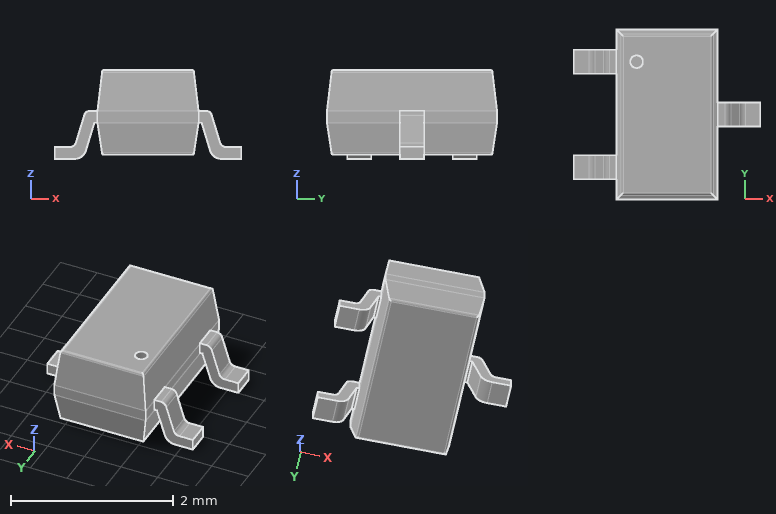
import cadquery as cq
import math

span = 2.3
body_width = 1.25
body_length = 2.1
body_top = 1.1
standoff = 0.05

lead_thickness = 0.15
lead_width = 0.3
lead_top = 0.595
lead_pitch = 1.302
lead_tilt = 17.0
shoulder_reach = 0.77
bend_radius = 0.075
heel_radius = lead_thickness

waist_bottom = lead_top - lead_thickness
taper_inset = 0.06
rim_radius = 0.03

dimple_diameter = 0.156
dimple_depth = 0.115
dimple_x = -0.375
dimple_y = lead_pitch / 2


def tapered_block(base_z, height, direction):
    """Waist-sized block narrowing by taper_inset over its height, up (1) or down (-1)."""
    taper = math.degrees(math.atan(taper_inset / height))
    plane = cq.Plane(origin=(0, 0, base_z), xDir=(1, 0, 0), normal=(0, 0, direction))
    return cq.Workplane(plane).rect(body_width, body_length).extrude(height, taper=taper)


def make_body():
    waist = (
        cq.Workplane("XY", origin=(0, 0, waist_bottom))
        .rect(body_width, body_length)
        .extrude(lead_thickness)
    )
    upper = tapered_block(lead_top, body_top - lead_top, 1)
    lower = tapered_block(waist_bottom, waist_bottom - standoff, -1)
    body = waist.union(upper).union(lower)
    body = body.faces(">Z or <Z").edges().fillet(rim_radius)
    dimple = (
        cq.Workplane("XY", origin=(dimple_x, dimple_y, body_top - dimple_depth))
        .circle(dimple_diameter / 2)
        .extrude(dimple_depth)
    )
    return body.cut(dimple)


def make_lead(side, center_y):
    """Gull-wing lead on the -X (side = -1) or +X (side = 1) face of the body."""
    lean = math.tan(math.radians(lead_tilt))
    mitre = lead_thickness * math.tan(math.radians((90 - lead_tilt) / 2))
    ankle_x = shoulder_reach + (lead_top - lead_thickness) * lean
    armpit_x = shoulder_reach - mitre
    heel_x = armpit_x + waist_bottom * lean
    profile = [
        (body_width / 2, lead_top),
        (shoulder_reach, lead_top),
        (ankle_x, lead_thickness),
        (span / 2, lead_thickness),
        (span / 2, 0),
        (heel_x, 0),
        (armpit_x, waist_bottom),
        (body_width / 2, waist_bottom),
    ]
    lead = (
        cq.Workplane("XZ", origin=(0, center_y, 0))
        .polyline([(side * x, z) for x, z in profile])
        .close()
        .extrude(lead_width / 2, both=True)
    )

    def bend_edge(x, z):
        return cq.selectors.NearestToPointSelector((side * x, center_y, z))

    lead = lead.edges(bend_edge(shoulder_reach, lead_top)).fillet(bend_radius)
    lead = lead.edges(bend_edge(ankle_x, lead_thickness)).fillet(bend_radius)
    return lead.edges(bend_edge(heel_x, 0)).fillet(heel_radius)


body = make_body()

lead_places = [(-1, -lead_pitch / 2), (-1, lead_pitch / 2), (1, 0)]
leads = [make_lead(side, center_y) for side, center_y in lead_places]

result = cq.Compound.makeCompound([body.val(), *[lead.val() for lead in leads]])